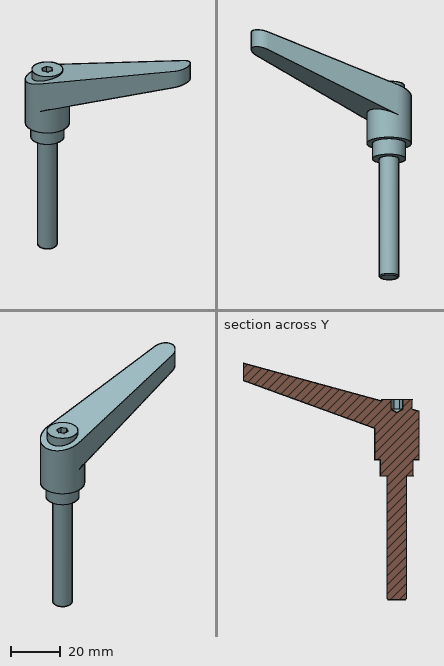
import cadquery as cq
import math

STUD_DIAMETER = 8.0
STUD_LENGTH = 50.0
STUD_CHAMFER = 0.5

COLLAR_DIAMETER = 13.5
COLLAR_HEIGHT = 6.5

HUB_RADIUS = 9.0
TIP_RADIUS = 5.0
TIP_CENTRE_X = 57.0
TIP_TOP_Z = 45.66
TOP_SLOPE = math.radians(15.3)
UNDERSIDE_SLOPE = math.radians(20.0)
UNDERSIDE_AXIS_Z = 16.0

HEAD_DIAMETER = 12.5
HEAD_TOP_Z = 31.0

SOCKET_ACROSS_FLATS = 4.0
SOCKET_DEPTH = 4.0
SOCKET_POINT_ANGLE = math.radians(120.0)

ARM_END_X = TIP_CENTRE_X + TIP_RADIUS
TOP_AXIS_Z = TIP_TOP_Z - ARM_END_X * math.tan(TOP_SLOPE)


def cylinder(diameter, bottom_z, top_z):
    """Cylinder on the screw axis between two heights."""
    return cq.Workplane("XY").workplane(offset=bottom_z).circle(diameter / 2).extrude(top_z - bottom_z)


def make_stud():
    """Plain shank with a chamfered lower end."""
    return cylinder(STUD_DIAMETER, -STUD_LENGTH, 0).faces("<Z").chamfer(STUD_CHAMFER)


def make_arm_plan():
    """Hub and tip circles joined by their common tangents, as a tall prism."""
    tangent_cos = (HUB_RADIUS - TIP_RADIUS) / TIP_CENTRE_X
    tangent_sin = math.sqrt(1 - tangent_cos**2)
    hub_x = HUB_RADIUS * tangent_cos
    hub_y = HUB_RADIUS * tangent_sin
    tip_x = TIP_CENTRE_X + TIP_RADIUS * tangent_cos
    tip_y = TIP_RADIUS * tangent_sin
    return (
        cq.Workplane("XY")
        .moveTo(hub_x, hub_y)
        .threePointArc((-HUB_RADIUS, 0), (hub_x, -hub_y))
        .lineTo(tip_x, -tip_y)
        .threePointArc((ARM_END_X, 0), (tip_x, tip_y))
        .close()
        .extrude(TIP_TOP_Z)
    )


def make_side_band(bottom_slope, bottom_axis_z):
    """Slab across Y, bounded by the sloping top and a straight bottom line."""
    bottom_line = [(x, bottom_axis_z + x * math.tan(bottom_slope)) for x in (-HUB_RADIUS, ARM_END_X)]
    top_line = [(x, TOP_AXIS_Z + x * math.tan(TOP_SLOPE)) for x in (ARM_END_X, -HUB_RADIUS)]
    return cq.Workplane("XZ").polyline(bottom_line + top_line).close().extrude(HUB_RADIUS, both=True)


def make_lever():
    """Round hub with the tapered arm rising from it under a common sloping top."""
    arm = make_arm_plan().intersect(make_side_band(UNDERSIDE_SLOPE, UNDERSIDE_AXIS_Z))
    hub = cylinder(2 * HUB_RADIUS, COLLAR_HEIGHT, TIP_TOP_Z).intersect(make_side_band(0, COLLAR_HEIGHT))
    return hub.union(arm)


def make_socket():
    """Hexagonal socket ending in a drill point as wide as the hexagon corners."""
    across_corners = SOCKET_ACROSS_FLATS / math.cos(math.pi / 6)
    corner_radius = across_corners / 2
    floor_z = HEAD_TOP_Z - SOCKET_DEPTH
    hexagon = cq.Workplane("XY").workplane(offset=floor_z).polygon(6, across_corners).extrude(SOCKET_DEPTH)
    point_depth = corner_radius / math.tan(SOCKET_POINT_ANGLE / 2)
    point = (
        cq.Workplane("XZ")
        .moveTo(0, floor_z)
        .lineTo(corner_radius, floor_z)
        .lineTo(0, floor_z - point_depth)
        .close()
        .revolve(360, (0, 0), (0, 1))
    )
    return hexagon.union(point)


collar = cylinder(COLLAR_DIAMETER, 0, COLLAR_HEIGHT)
head = cylinder(HEAD_DIAMETER, COLLAR_HEIGHT, HEAD_TOP_Z)

result = make_stud().union(collar).union(make_lever()).union(head).cut(make_socket())